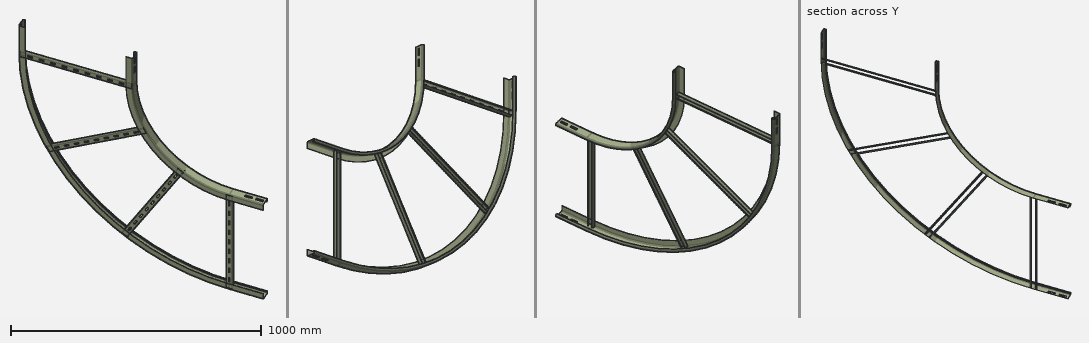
import cadquery as cq
import math

overall_size = 1070.0
leg_length = 150.0
rail_spacing = 500.0
outer_radius = overall_size - leg_length
inner_radius = outer_radius - rail_spacing
bend_centre = overall_size / 2 - leg_length

sheet = 2.0
rail_height = 45.0
front_flange = 30.0
back_flange = 13.0
back_lip = 10.0
rail_bend = 4.0

web_slot_length = 30.0
web_slot_width = 9.0
web_slot_offsets = (26.0, 74.0)

rung_count = 4
rung_width = 30.0
rung_depth = 16.0
rung_lip = 6.0
rung_bend = 3.0
rung_clearance = 3.0
rung_slot_count = 9
rung_slot_pitch = rail_spacing / (rung_slot_count + 1)
rung_slot_length = 20.0
rung_slot_width = 6.0

front_y = -rail_height / 2
back_y = rail_height / 2
rung_front_y = front_y + sheet


def folded_section(outside, inside, bend):
    """Face of a folded sheet, from its outside path and its inside path in the XY plane."""
    points = [cq.Vector(x, y) for x, y in outside + inside[::-1]]
    face = cq.Face.makeFromWires(cq.Wire.makePolygon(points, close=True))

    def corners(path):
        folds = [cq.Vector(x, y) for x, y in path[1:-1]]
        return [v for v in face.Vertices() if any((v.Center() - f).Length < sheet / 10 for f in folds)]

    face = face.fillet2D(bend, corners(outside))
    return face.fillet2D(bend - sheet, corners(inside))


def rail_section(web_radius, inward):
    """Rail section in the XY plane, its web at X = -web_radius; inward is 1 or -1, the way the flanges point."""
    def place(path):
        return [(-web_radius + inward * depth, y) for depth, y in path]

    outside = [
        (front_flange, front_y),
        (0, front_y),
        (0, back_y),
        (back_flange, back_y),
        (back_flange, back_y - back_lip),
    ]
    inside = [
        (front_flange, front_y + sheet),
        (sheet, front_y + sheet),
        (sheet, back_y - sheet),
        (back_flange - sheet, back_y - sheet),
        (back_flange - sheet, back_y - back_lip),
    ]
    return folded_section(place(outside), place(inside), rail_bend)


def about_bend_axis(shape, angle):
    """Turn a shape from the upper leg towards the right-hand leg."""
    return shape.rotate(cq.Vector(0, 0, 0), cq.Vector(0, 1, 0), -angle)


def rail_leg(web_radius, inward, direction):
    """Straight end of a rail along Z, with the slots through its web."""
    leg = cq.Solid.extrudeLinear(rail_section(web_radius, inward), cq.Vector(0, 0, direction * leg_length))
    for offset in web_slot_offsets:
        slot = (
            cq.Workplane("YZ", origin=(-web_radius, 0, direction * (leg_length - offset)))
            .rect(web_slot_width, web_slot_length)
            .extrude(2 * sheet, both=True)
        )
        leg = leg.cut(slot.val())
    return leg


def rail(web_radius, inward):
    """Curved rail with a straight leg at each end."""
    section = rail_section(web_radius, inward)
    curve = cq.Solid.revolve(section, 90, cq.Vector(0, 0, 0), cq.Vector(0, -1, 0))
    upper_leg = rail_leg(web_radius, inward, 1)
    right_leg = about_bend_axis(rail_leg(web_radius, inward, -1), 90)
    return curve.fuse(upper_leg, right_leg)


def rung():
    """Slotted channel along X between the rail webs, resting against the front flanges."""
    half = rung_width / 2
    back = rung_front_y + rung_depth
    outside = [
        (-half + rung_lip, back),
        (-half, back),
        (-half, rung_front_y),
        (half, rung_front_y),
        (half, back),
        (half - rung_lip, back),
    ]
    inside = [
        (-half + rung_lip, back - sheet),
        (-half + sheet, back - sheet),
        (-half + sheet, rung_front_y + sheet),
        (half - sheet, rung_front_y + sheet),
        (half - sheet, back - sheet),
        (half - rung_lip, back - sheet),
    ]
    near_end = inner_radius + sheet + rung_clearance
    far_end = math.sqrt((outer_radius - sheet) ** 2 - half ** 2) - rung_clearance
    bar = cq.Solid.extrudeLinear(folded_section(outside, inside, rung_bend), cq.Vector(0, 0, far_end - near_end))
    bar = bar.rotate(cq.Vector(0, 0, 0), cq.Vector(0, 1, 0), -90).translate(cq.Vector(-near_end, 0, 0))

    slot_centre = -(inner_radius + outer_radius) / 2
    slots = (
        cq.Workplane("XZ", origin=(slot_centre, rung_front_y, 0))
        .rarray(rung_slot_pitch, 11, rung_slot_count, 1)
        .rect(rung_slot_length, rung_slot_width)
        .extrude(2 * sheet, both=True)
    )
    return bar.cut(*slots.vals())


to_centre = cq.Vector(bend_centre, 0, bend_centre)

outer_rail = rail(outer_radius, 1).translate(to_centre)
inner_rail = rail(inner_radius, -1).translate(to_centre)

rungs = []
for index in range(rung_count):
    angle = index * 90 / (rung_count - 1)
    rungs.append(about_bend_axis(rung(), angle).translate(to_centre))

result = cq.Compound.makeCompound([outer_rail, inner_rail, *rungs])